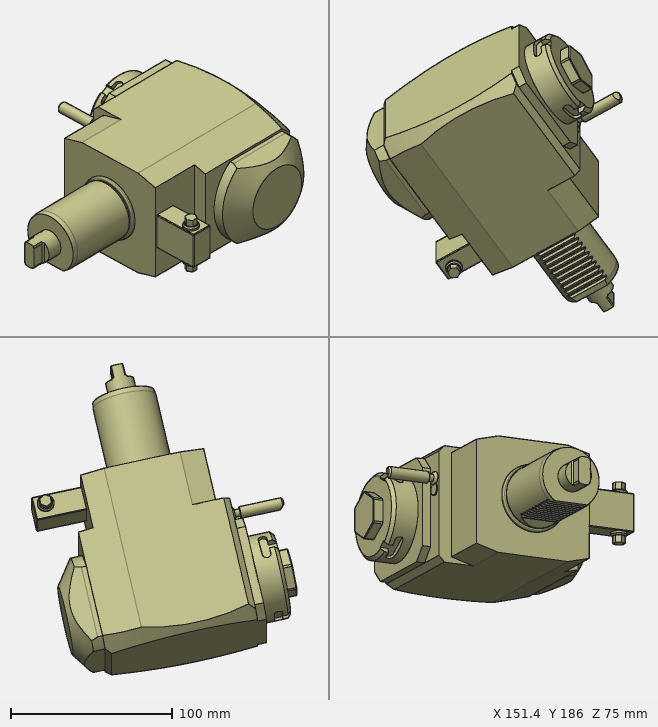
import cadquery as cq
import math


HEIGHT = 75.0
HALF_HEIGHT = HEIGHT / 2
BACK_Y = 113.8
STEP_Y = 35.0
FOOT_HALF_WIDTH = 39.0
HEAD_LEFT = -47.8
HEAD_RIGHT = 48.4
HEAD_CHAMFER = 3.9
FOOT_CHAMFER_WIDTH = 15.0
TAPER_START_X = 24.2
TAPER_ANGLE = 15
TAPER_SLOPE = math.tan(math.radians(TAPER_ANGLE))
BACK_CORNER_CHAMFER = 3.3
CROWN_X = -9.7
CROWN_RADIUS = 130.5
CROWN_TOP_Y = 110.0

SPINDLE_Y = 80.2
PLATE_LEFT = -53.4
PLATE_FRONT_Y = 46.5
PLATE_HALF_HEIGHT = 33.5
PLATE_CHAMFER = 8.4
NUT_RADIUS = 27.5
NUT_LEFT = -70.7
NUT_CHAMFER = 2.2
NUT_SLOT_COUNT = 3
NUT_SLOT_X = -62.7
NUT_SLOT_WIDTH = 5.4
NUT_SLOT_LENGTH = 19.2
NOTCH_WIDTH = 6.1
SLOT_FLOOR_RADIUS = 24.0
HEX_LEFT = -77.4
HEX_FLATS = 26.8
HEX_CORNER_DIAMETER = 30.1
HEX_CHAMFER = 0.5

CAP_RADIUS = 37.4
CAP_RIM_X = 55.6
CAP_RIGHT = 66.8
CAP_END_RADIUS = 21.8
CAP_BACK_Y = 110.0
CAP_HALF_HEIGHT = 29.4
CAP_TAPER_X = 51.5

PIN_Y = 40.5
PIN_Z = 17.3
PIN_LEFT = -80.7
PIN_RIGHT = -52.8
PIN_RADIUS = 3.7
PIN_TIP_CHAMFER = 1.1
PIN_END_CHAMFER = 0.4
PIN_BEVEL_OFFSET = 0.4
PIN_BEVEL_LENGTH = 3.0
PIN_BEVEL_ANGLE = -18
NECK_RADIUS = 2.5
BALL_RADIUS = 4.3
BALL_LENGTH = 1.9
BALL_ROUND = 1.7
PLUG_Z = 10.2
PLUG_RADIUS = 3.9
PLUG_HEIGHT = 0.7

ARM_RIGHT = 70.7
ARM_FRONT_Y = 1.3
ARM_BACK_Y = 16.4
ARM_HALF_HEIGHT = 12.5
ARM_CHAMFER = 0.5
NOZZLE_X = 62.9
NOZZLE_Y = 7.0
COLLAR_RADIUS = 5.2
COLLAR_HEIGHT = 2.2
COLLAR_CHAMFER = 1.0
NOZZLE_FLATS = 6.9
NOZZLE_TOP_Z = 19.3

FLANGE_RADIUS = 21.5
FLANGE_LENGTH = 2.2
FLANGE_ROUND = 1.0
RELIEF_RADIUS = 19.5
RELIEF_END = 3.7
SHANK_RADIUS = 20.0
SHANK_LENGTH = 53.2
SHANK_TAPER_LENGTH = 3.3
SHANK_END_RADIUS = 19.5
RACK_Z = -16.0
RACK_START_Y = -9.1
GROOVE_COUNT = 10
RACK_SPAN = 36.0
GROOVE_PITCH = RACK_SPAN / (GROOVE_COUNT - 1)
FIRST_GROOVE_Y = -11.7
GROOVE_DEPTH = 1.7
GROOVE_MOUTH = 3.0
GROOVE_FLOOR = 1.0

TANG_RADIUS = 9.0
TANG_SHOULDER_Y = -63.8
TANG_END_Y = -72.2
TANG_WIDTH = 8.0
TANG_HALF_WIDTH = TANG_WIDTH / 2
TANG_ROOT = 1.0
TANG_EDGE_Z = 6.9
TANG_RIM_WIDTH = 6.9
TANG_RIM_HALF_WIDTH = TANG_RIM_WIDTH / 2
TANG_RIM_Z = math.sqrt(TANG_RADIUS**2 - TANG_RIM_HALF_WIDTH**2)


def cylinder_x(radius, x_start, x_end, y, z):
    """Cylinder along X between two X positions."""
    return cq.Workplane("YZ", origin=(x_start, y, z)).circle(radius).extrude(x_end - x_start)


def box_between(x_range, y_range, z_range):
    """Axis-aligned box given by its limits on each axis."""
    sizes = [high - low for low, high in (x_range, y_range, z_range)]
    corner = (x_range[0], y_range[0], z_range[0])
    return cq.Workplane("XY").box(*sizes, centered=False).translate(corner)


def taper_drop(x):
    """Fall of the tapered top face at a given X."""
    return TAPER_SLOPE * (x - TAPER_START_X)


def mirrored_profile(upper_points, y_start, y_end):
    """Prism along Y whose XZ outline is the upper half outline plus its mirror image in Z."""
    lower_points = [(x, -z) for x, z in reversed(upper_points)]
    outline = cq.Workplane("XZ", origin=(0, y_start, 0)).polyline(upper_points + lower_points)
    return outline.close().extrude(y_start - y_end)


def make_housing():
    head = mirrored_profile(
        [
            (HEAD_LEFT, HALF_HEIGHT - HEAD_CHAMFER),
            (HEAD_LEFT + HEAD_CHAMFER, HALF_HEIGHT),
            (TAPER_START_X, HALF_HEIGHT),
            (HEAD_RIGHT, HALF_HEIGHT - taper_drop(HEAD_RIGHT)),
        ],
        STEP_Y,
        BACK_Y,
    )
    head = head.edges("|Z and >X and >Y").chamfer(BACK_CORNER_CHAMFER)
    foot = mirrored_profile(
        [
            (-FOOT_HALF_WIDTH, HALF_HEIGHT - taper_drop(FOOT_HALF_WIDTH)),
            (FOOT_CHAMFER_WIDTH - FOOT_HALF_WIDTH, HALF_HEIGHT),
            (TAPER_START_X, HALF_HEIGHT),
            (FOOT_HALF_WIDTH, HALF_HEIGHT - taper_drop(FOOT_HALF_WIDTH)),
        ],
        0,
        STEP_Y,
    )
    return head.intersect(make_crown()).union(foot)


def make_crown():
    """Double cone about a vertical axis; it bevels the rear top and bottom edges at 45 degrees."""
    middle_radius = CROWN_RADIUS + HALF_HEIGHT
    axis_y = CROWN_TOP_Y - CROWN_RADIUS
    outline = [
        (0, -HALF_HEIGHT),
        (CROWN_RADIUS, -HALF_HEIGHT),
        (middle_radius, 0),
        (CROWN_RADIUS, HALF_HEIGHT),
        (0, HALF_HEIGHT),
    ]
    cone = cq.Workplane("XZ").polyline(outline).close().revolve(360, (0, 0, 0), (0, 1, 0))
    return cone.translate((CROWN_X, axis_y, 0))


def make_plate():
    plate = box_between(
        (PLATE_LEFT, HEAD_LEFT),
        (PLATE_FRONT_Y, BACK_Y),
        (-PLATE_HALF_HEIGHT, PLATE_HALF_HEIGHT),
    )
    return plate.edges("|X").chamfer(PLATE_CHAMFER)


def make_nut():
    nut = cylinder_x(NUT_RADIUS, NUT_LEFT, PLATE_LEFT, SPINDLE_Y, 0)
    nut = nut.faces("<X").chamfer(NUT_CHAMFER)
    cut_depth = 2 * (NUT_RADIUS - SLOT_FLOOR_RADIUS)
    slot = (
        cq.Workplane("XZ", origin=(NUT_SLOT_X, SPINDLE_Y + SLOT_FLOOR_RADIUS, 0))
        .slot2D(NUT_SLOT_LENGTH, NUT_SLOT_WIDTH, 90)
        .extrude(-cut_depth)
    )
    notch = box_between(
        (NUT_LEFT, NUT_SLOT_X),
        (SPINDLE_Y + SLOT_FLOOR_RADIUS, SPINDLE_Y + SLOT_FLOOR_RADIUS + cut_depth),
        (-NOTCH_WIDTH / 2, NOTCH_WIDTH / 2),
    )
    cutter = slot.union(notch)
    for i in range(NUT_SLOT_COUNT):
        angle = i * 360 / NUT_SLOT_COUNT
        nut = nut.cut(cutter.rotate((0, SPINDLE_Y, 0), (1, SPINDLE_Y, 0), angle))
    return nut.union(make_hexagon())


def make_hexagon():
    """Spindle hexagon with corners on +Z and -Z, its six edges turned down slightly."""
    hexagon = (
        cq.Workplane("YZ", origin=(HEX_LEFT, SPINDLE_Y, 0))
        .polygon(6, HEX_FLATS, circumscribed=True)
        .extrude(NUT_LEFT - HEX_LEFT)
    )
    turned = cylinder_x(HEX_CORNER_DIAMETER / 2, HEX_LEFT, NUT_LEFT, SPINDLE_Y, 0)
    return hexagon.intersect(turned).faces("<X").chamfer(HEX_CHAMFER)


def make_cap():
    outline = [
        (HEAD_RIGHT, 0),
        (HEAD_RIGHT, CAP_RADIUS),
        (CAP_RIM_X, CAP_RADIUS),
        (CAP_RIGHT, CAP_END_RADIUS),
        (CAP_RIGHT, 0),
    ]
    cap = cq.Workplane("XY").polyline(outline).close().revolve(360, (0, 0, 0), (1, 0, 0))
    cap = cap.translate((0, SPINDLE_Y, 0))
    end_half_height = CAP_HALF_HEIGHT - TAPER_SLOPE * (CAP_RIGHT - CAP_TAPER_X)
    envelope = mirrored_profile(
        [
            (HEAD_RIGHT, CAP_HALF_HEIGHT),
            (CAP_TAPER_X, CAP_HALF_HEIGHT),
            (CAP_RIGHT, end_half_height),
        ],
        SPINDLE_Y - CAP_RADIUS,
        CAP_BACK_Y,
    )
    return cap.intersect(envelope)


def make_pin():
    pin = cylinder_x(PIN_RADIUS, PIN_LEFT, PIN_RIGHT, PIN_Y, PIN_Z)
    pin = pin.faces("<X").chamfer(PIN_TIP_CHAMFER)
    pin = pin.faces(">X").chamfer(PIN_END_CHAMFER)
    pin = pin.cut(make_pin_bevel())
    neck = cylinder_x(NECK_RADIUS, PIN_RIGHT, HEAD_LEFT, PIN_Y, PIN_Z)
    ball = cylinder_x(BALL_RADIUS, HEAD_LEFT - BALL_LENGTH, HEAD_LEFT, PIN_Y, PIN_Z)
    ball = ball.faces("<X").edges().fillet(BALL_ROUND)
    plug = cylinder_x(PLUG_RADIUS, HEAD_LEFT - PLUG_HEIGHT, HEAD_LEFT, PIN_Y, PLUG_Z)
    return pin.union(neck).union(ball).union(plug)


def make_pin_bevel():
    """Wedge that slants one side of the pin tip."""
    wedge = [
        (PIN_LEFT, PIN_BEVEL_OFFSET),
        (PIN_LEFT, PIN_RADIUS),
        (PIN_LEFT + PIN_BEVEL_LENGTH, PIN_RADIUS),
    ]
    bevel = cq.Workplane("XY").polyline(wedge).close().extrude(PIN_RADIUS, both=True)
    return bevel.rotate((0, 0, 0), (1, 0, 0), PIN_BEVEL_ANGLE).translate((0, PIN_Y, PIN_Z))


def make_arm():
    arm = box_between(
        (FOOT_HALF_WIDTH, ARM_RIGHT),
        (ARM_FRONT_Y, ARM_BACK_Y),
        (-ARM_HALF_HEIGHT, ARM_HALF_HEIGHT),
    )
    arm = arm.edges("|X or >X").chamfer(ARM_CHAMFER)
    nozzle = make_nozzle()
    return arm.union(nozzle).union(nozzle.mirror("XY"))


def make_nozzle():
    base = cq.Workplane("XY", origin=(NOZZLE_X, NOZZLE_Y, ARM_HALF_HEIGHT))
    collar = base.circle(COLLAR_RADIUS).extrude(COLLAR_HEIGHT).faces(">Z").chamfer(COLLAR_CHAMFER)
    head = base.polygon(6, NOZZLE_FLATS, circumscribed=True)
    head = head.extrude(NOZZLE_TOP_Z - ARM_HALF_HEIGHT)
    return collar.union(head)


def make_shank():
    taper_start = SHANK_LENGTH - SHANK_TAPER_LENGTH
    shank = (
        cq.Workplane("XY")
        .moveTo(0, 0)
        .lineTo(FLANGE_RADIUS, 0)
        .lineTo(FLANGE_RADIUS, FLANGE_ROUND - FLANGE_LENGTH)
        .radiusArc((FLANGE_RADIUS - FLANGE_ROUND, -FLANGE_LENGTH), FLANGE_ROUND)
        .lineTo(RELIEF_RADIUS, -FLANGE_LENGTH)
        .lineTo(SHANK_RADIUS, -RELIEF_END)
        .lineTo(SHANK_RADIUS, -taper_start)
        .lineTo(SHANK_END_RADIUS, -SHANK_LENGTH)
        .lineTo(0, -SHANK_LENGTH)
        .close()
        .revolve(360, (0, 0, 0), (0, 1, 0))
    )
    return shank.cut(make_rack_cutter())


def make_rack_cutter():
    """Flat under the shank with a 45 degree run-out, plus the grooves between the rack teeth."""
    depth = SHANK_RADIUS + RACK_Z
    flat = [
        (RACK_START_Y, RACK_Z),
        (RACK_START_Y + depth, RACK_Z - depth),
        (-SHANK_LENGTH, RACK_Z - depth),
        (-SHANK_LENGTH, RACK_Z),
    ]
    cutter = cut_across(flat)
    for i in range(GROOVE_COUNT):
        y = FIRST_GROOVE_Y - i * GROOVE_PITCH
        groove = [
            (y - GROOVE_MOUTH / 2, RACK_Z),
            (y - GROOVE_FLOOR / 2, RACK_Z + GROOVE_DEPTH),
            (y + GROOVE_FLOOR / 2, RACK_Z + GROOVE_DEPTH),
            (y + GROOVE_MOUTH / 2, RACK_Z),
        ]
        cutter = cutter.union(cut_across(groove))
    return cutter


def cut_across(outline):
    """Prism along X, as wide as the shank, from a YZ outline."""
    return cq.Workplane("YZ").polyline(outline).close().extrude(SHANK_RADIUS, both=True)


def make_tang():
    shoulder = cq.Workplane("XZ", origin=(0, -SHANK_LENGTH, 0)).circle(TANG_RADIUS)
    shoulder = shoulder.extrude(-SHANK_LENGTH - TANG_SHOULDER_Y)
    tang = mirrored_profile(
        [
            (-TANG_HALF_WIDTH, TANG_EDGE_Z),
            (-TANG_RIM_HALF_WIDTH, TANG_RIM_Z),
            (-TANG_RIM_HALF_WIDTH, TANG_RADIUS),
            (TANG_RIM_HALF_WIDTH, TANG_RADIUS),
            (TANG_RIM_HALF_WIDTH, TANG_RIM_Z),
            (TANG_HALF_WIDTH, TANG_EDGE_Z),
        ],
        TANG_SHOULDER_Y,
        TANG_END_Y,
    )
    root_half_width = TANG_HALF_WIDTH + TANG_ROOT
    root = [
        (-root_half_width, TANG_SHOULDER_Y),
        (root_half_width, TANG_SHOULDER_Y),
        (TANG_HALF_WIDTH, TANG_SHOULDER_Y - TANG_ROOT),
        (-TANG_HALF_WIDTH, TANG_SHOULDER_Y - TANG_ROOT),
    ]
    root = cq.Workplane("XY").polyline(root).close().extrude(TANG_RADIUS, both=True)
    envelope = cq.Workplane("XZ", origin=(0, TANG_SHOULDER_Y, 0)).circle(TANG_RADIUS)
    envelope = envelope.extrude(TANG_SHOULDER_Y - TANG_END_Y)
    return shoulder.union(tang.union(root).intersect(envelope))


result = make_housing()
for feature in (make_plate, make_nut, make_cap, make_pin, make_arm, make_shank, make_tang):
    result = result.union(feature())